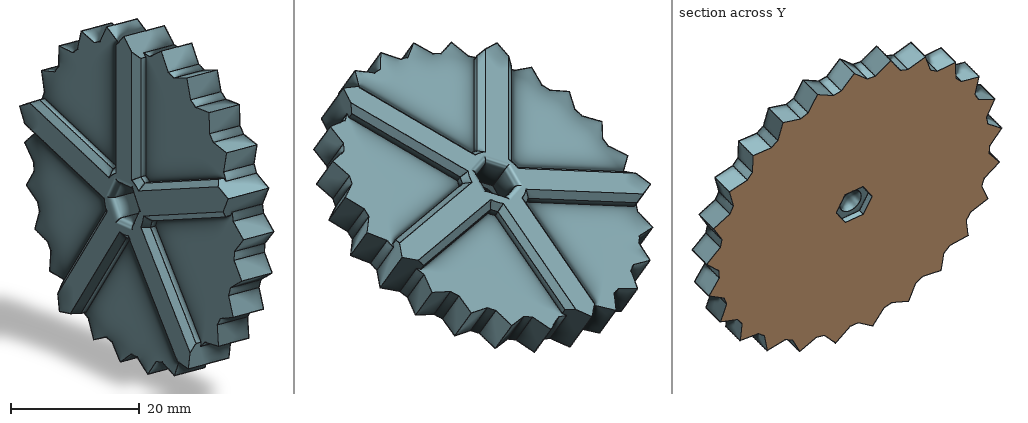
import cadquery as cq
import math

tooth_count = 25
tip_radius = 27.8
root_radius = 25.5
plate_thickness = 6.0

rib_count = 5
rib_width = 6.0
rib_height = 2.0
rib_chamfer = 1.0
hub_radius = 6.0

bore_diameter = 4.0
hex_sides = 6
hex_flats = 5.8
mouth_round = 1.0
hex_depth = 5

total_thickness = plate_thickness + rib_height


def polar(radius, angle):
    """Point at an angle measured in degrees from +X toward +Z."""
    turn = math.radians(angle)
    return (radius * math.cos(turn), radius * math.sin(turn))


def toothed_plate():
    """Disc with right-angled pointed teeth and round-bottomed gaps, one tooth at +Z."""
    flank_run = (tip_radius - math.sqrt(2 * root_radius**2 - tip_radius**2)) / 2
    flank_angle = math.degrees(math.asin(flank_run / root_radius))
    pitch = 360 / tooth_count
    outline = cq.Workplane("XZ").moveTo(*polar(tip_radius, 90))
    for tooth in range(tooth_count):
        tip_angle = 90 + tooth * pitch
        next_tip_angle = tip_angle + pitch
        outline = outline.lineTo(*polar(root_radius, tip_angle + flank_angle))
        outline = outline.threePointArc(
            polar(root_radius, tip_angle + pitch / 2),
            polar(root_radius, next_tip_angle - flank_angle),
        )
        if tooth < tooth_count - 1:
            outline = outline.lineTo(*polar(tip_radius, next_tip_angle))
    return outline.close().extrude(plate_thickness)


def rib():
    """Radial rib along +Z with chamfered long edges, ending in the same point as a tooth."""
    half_width = rib_width / 2
    top_half_width = half_width - rib_chamfer
    shoulder = -(total_thickness - rib_chamfer)
    bar = (
        cq.Workplane("XY")
        .polyline([
            (-half_width, 0),
            (-half_width, shoulder),
            (-top_half_width, -total_thickness),
            (top_half_width, -total_thickness),
            (half_width, shoulder),
            (half_width, 0),
        ])
        .close()
        .extrude(tip_radius)
    )
    wedge = (
        cq.Workplane("XZ")
        .polyline([(-tip_radius, 0), (0, tip_radius), (tip_radius, 0)])
        .close()
        .extrude(total_thickness)
    )
    return bar.intersect(wedge)


def ribs_and_hub():
    """Star of ribs joined by a round chamfered hub."""
    star = cq.Workplane("XZ").circle(hub_radius).extrude(total_thickness)
    star = star.faces("<Y").chamfer(rib_chamfer)
    for index in range(rib_count):
        star = star.union(rib().rotate((0, 0, 0), (0, 1, 0), index * 360 / rib_count))
    return star


def hex_corners(flats):
    """Diameter across the corners of a hexagon with the given width across flats."""
    return flats / math.cos(math.pi / hex_sides)


def hex_recess():
    """Hexagonal nut pocket with corners on the X axis and a mouth flared by a convex round."""
    mouth_half = hex_flats / 2 + mouth_round
    mouth_corners = hex_corners(2 * mouth_half)
    side_length = mouth_corners / 2
    floor = hex_depth - total_thickness
    mouth_base = mouth_round - total_thickness
    pocket = (
        cq.Workplane("XZ", origin=(0, floor, 0))
        .polygon(hex_sides, hex_corners(hex_flats))
        .extrude(hex_depth)
    )
    mouth = (
        cq.Workplane("XZ", origin=(0, mouth_base, 0))
        .polygon(hex_sides, mouth_corners)
        .extrude(mouth_round)
    )
    for side in range(hex_sides):
        shoulder = (
            cq.Workplane("YZ", origin=(-side_length / 2, 0, 0))
            .center(mouth_base, mouth_half)
            .circle(mouth_round)
            .extrude(side_length)
        )
        mouth = mouth.cut(shoulder.rotate((0, 0, 0), (0, 1, 0), side * 360 / hex_sides))
    return pocket.union(mouth)


bore = cq.Workplane("XZ").circle(bore_diameter / 2).extrude(total_thickness)

result = toothed_plate().union(ribs_and_hub()).cut(hex_recess()).cut(bore)